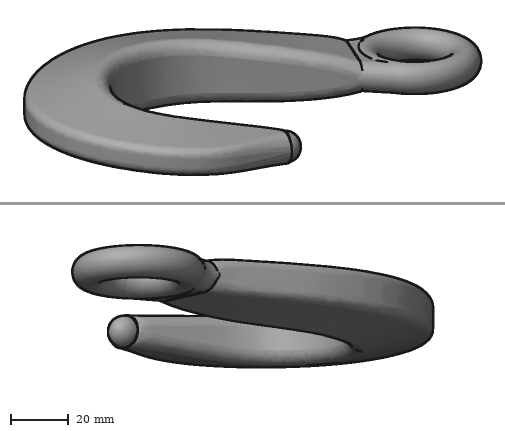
import cadquery as cq
import math


bowl_radius = 31.6
shank_angle = 50.6
outer_edge_radius = 3.2
inner_edge_radius = 4.5

eye_centre = (0, 87.0)
eye_radius = 17.53
bar_radius = 5.6

neck_inner = (7.7, 61.2)
neck_outer = (-21.2, 71.1)
neck_edge_radius = 5.3
neck_left_angle = 199
neck_right_angle = 318
neck_radius = 5.5
web_half = 5.3
neck_overlap = 2.5
neck_bow = 1.4

tip_radius = 5.8
cap_radius = 5.6
tip_centre = (51.0, 2.7)
tip_tilt = -6
tip_edge_radius = 5.5

along = (math.cos(math.radians(shank_angle)), math.sin(math.radians(shank_angle)))


def polar(centre, radius, angle):
    """Point at a given radius and angle (degrees) around a centre."""
    turn = math.radians(angle)
    return (centre[0] + radius * math.cos(turn), centre[1] + radius * math.sin(turn))


def section(inner, outer, inner_half, outer_half, inner_radius, outer_radius):
    """Upright wedge section from inner to outer point, with four rounded corners."""
    width = math.dist(inner, outer)
    across = ((outer[0] - inner[0]) / width, (outer[1] - inner[1]) / width)
    slope = math.atan2(inner_half - outer_half, width)

    def place(distance, height):
        return cq.Vector(inner[0] + across[0] * distance, inner[1] + across[1] * distance, height)

    def corner(wall, half, radius, side, tilt):
        """Start on the wall, middle and end on the sloped face of one upper corner."""
        reach = radius / math.tan((math.pi / 2 + tilt) / 2)
        centre = (wall - side * radius, half - reach)
        face = (wall - side * reach * math.cos(slope), half + side * reach * math.sin(slope))
        pull = radius / math.dist(centre, (wall, half))
        middle = (centre[0] + (wall - centre[0]) * pull, centre[1] + (half - centre[1]) * pull)
        return [(wall, half - reach), middle, face]

    inner_top = corner(0, inner_half, inner_radius, -1, -slope)
    outer_top = corner(width, outer_half, outer_radius, 1, slope)[::-1]
    outer_bottom = [(d, -z) for d, z in reversed(outer_top)]
    inner_bottom = [(d, -z) for d, z in reversed(inner_top)]
    corners = [[place(*p) for p in c] for c in (inner_top, outer_top, outer_bottom, inner_bottom)]

    edges = []
    for arc, following in zip(corners, corners[1:] + corners[:1]):
        edges.append(cq.Edge.makeThreePointArc(*arc))
        edges.append(cq.Edge.makeLine(arc[2], following[0]))
    return cq.Wire.assembleEdges(edges)


def hook_section(angle, reach, inner_half, outer_half, shift=0):
    """Section on a ray from the bowl centre, moved by shift along the shank direction."""
    start = (along[0] * shift, along[1] * shift)
    inner = polar(start, bowl_radius, angle)
    outer = polar(start, reach, angle)
    return section(inner, outer, inner_half, outer_half, inner_edge_radius, outer_edge_radius)


def make_body():
    """Loft from the neck, down the shank, around the bowl and up to the tip."""
    shank_side = shank_angle + 90
    tip_side = shank_angle + 270
    tip_start = polar(tip_centre, tip_radius, tip_tilt + 180)
    tip_end = polar(tip_centre, tip_radius, tip_tilt)
    sections = [
        section(neck_inner, neck_outer, bar_radius, bar_radius, neck_edge_radius,
                neck_edge_radius),
        hook_section(shank_side, 61.4, 9.4, 6.2, shift=33.5),
        hook_section(shank_side, 61.4, 12.1, 6.5),
        hook_section(180, 61.2, 13.2, 6.7),
        hook_section(225, 61.2, 12.7, 5.5),
        hook_section(270, 60.9, 10.6, 4.6),
        hook_section(tip_side, 59.8, 8.7, 4.6),
        hook_section(tip_side, 56.8, 7.4, 4.6, shift=15.7),
        section(tip_start, tip_end, tip_radius, tip_radius, tip_edge_radius, tip_edge_radius),
    ]
    body = cq.Workplane(cq.Solid.makeLoft(sections))
    tip_direction = cq.Vector(*polar((0, 0), 1, tip_tilt + 90))
    cap = cq.Solid.makeSphere(cap_radius, cq.Vector(*tip_centre), tip_direction, 0, 90, 360)
    return body.union(cq.Workplane(cap))


def eye_arc(start_angle, end_angle):
    """Part of the round eye bar, counterclockwise between two angles."""
    turn = (end_angle - start_angle) % 360
    arc = cq.Workplane("XZ").center(eye_radius, 0).circle(bar_radius)
    arc = arc.revolve(turn, (-eye_radius, 0), (-eye_radius, 1))
    return arc.rotate((0, 0, 0), (0, 0, 1), start_angle).translate((*eye_centre, 0))


def make_eye():
    """Full ring, divided where the side bars of the neck leave it."""
    free_arc = eye_arc(neck_right_angle, neck_left_angle)
    neck_arc = eye_arc(neck_left_angle, neck_right_angle)
    return free_arc.union(neck_arc, clean=False)


def make_neck():
    """Two round side bars from the eye to the shank, with a flat web between them."""
    span = math.dist(neck_inner, neck_outer)
    across = ((neck_outer[0] - neck_inner[0]) / span, (neck_outer[1] - neck_inner[1]) / span)

    def bar_end(corner, inset):
        return tuple(c + a * inset - t * neck_overlap for c, a, t in zip(corner, across, along))

    right_low = bar_end(neck_inner, bar_radius)
    left_low = bar_end(neck_outer, -bar_radius)
    right_high = polar(eye_centre, eye_radius, neck_right_angle)
    left_high = polar(eye_centre, eye_radius, neck_left_angle)
    left_middle = ((left_low[0] + left_high[0]) / 2 + neck_bow, (left_low[1] + left_high[1]) / 2)
    eye_bottom = polar(eye_centre, eye_radius, (neck_left_angle + neck_right_angle) / 2)

    web = (
        cq.Workplane().workplane(offset=-web_half).moveTo(*left_low)
        .threePointArc(left_middle, left_high).threePointArc(eye_bottom, right_high)
        .lineTo(*right_low).close().extrude(2 * web_half)
    )
    left_path = cq.Workplane().moveTo(*left_low).threePointArc(left_middle, left_high)
    right_path = cq.Workplane().moveTo(*right_low).lineTo(*right_high)
    neck = web
    for path in (left_path, right_path):
        edge = path.val()
        start = cq.Plane(edge.startPoint(), normal=edge.tangentAt(0))
        neck = neck.union(cq.Workplane(start).circle(neck_radius).sweep(path))
    return neck


result = make_eye().union(make_neck(), clean=False).union(make_body(), clean=False)